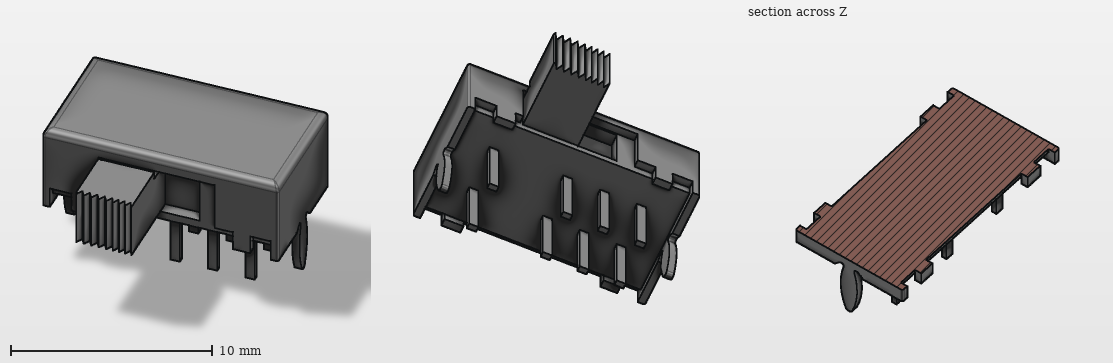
import cadquery as cq
import math


COVER_LENGTH = 12.6
COVER_WIDTH = 6.8
COVER_TOP = 4.7
SHEET = 0.4
TOP_EDGE_RADIUS = 0.43
CORNER_RADIUS = 0.12
LONG_WALL_BOTTOM = 1.15
TAB_BOTTOM = 0.1
TAB_SPANS = [(-4.75, -3.72), (3.88, 4.8)]
WINDOW_LEFT = -3.3
WINDOW_RIGHT = 2.91
WINDOW_TOP = 3.8

BASE_BOTTOM = 0.6
BASE_FRONT = -COVER_WIDTH / 2 + SHEET

KNOB_LEFT = -3.15
KNOB_WIDTH = 3.0
KNOB_BOTTOM = 1.05
KNOB_HEIGHT = 3.0
KNOB_FRONT = -6.9
STEM_TOP = 3.65
STEM_GAP = 0.42
SLOT_RIGHT = 1.95
SLOT_DEPTH = 0.65

TOOTH_DEPTH = 0.33
CORNER_SETBACK = 0.1
FIRST_GROOVE = 0.25
WIDE_PITCH = 0.4
WIDE_COUNT = 4
NARROW_PITCH = 0.325
NARROW_COUNT = 3

LEG_TIP_Z = -2.8
LEG_TIP_HALF_WIDTH = 0.155
LEG_TIP_RADIUS = 0.2
LEG_BELLY_Z = -1.1
LEG_BELLY_HALF_WIDTH = 0.525
LEG_NECK_HALF_WIDTH = 0.33
RELIEF_RADIUS = 0.16

PIN_X = [-4.0, 0.0, 2.0, 4.0]
PIN_ROW_OFFSET = 1.25
PIN_WIDTH = 0.5
PIN_THICKNESS = 0.3
PIN_BOTTOM = -3.1
PIN_TOP = 1.15


def block(x_span, y_span, z_span):
    """Box between two limits on each axis."""
    size = [high - low for low, high in (x_span, y_span, z_span)]
    return cq.Workplane("XY").box(*size, centered=False).translate((x_span[0], y_span[0], z_span[0]))


def cover_envelope():
    """Solid outer form: mitred rounds along the top and small rounds at the upright corners."""
    blank = cq.Workplane("XY").box(COVER_LENGTH, COVER_WIDTH, COVER_TOP, centered=(True, True, False))
    along_x = blank.faces(">Z").edges("|X").fillet(TOP_EDGE_RADIUS)
    along_y = blank.faces(">Z").edges("|Y").fillet(TOP_EDGE_RADIUS)
    return along_x.intersect(along_y).edges("|Z").fillet(CORNER_RADIUS)


def long_wall_cut(side):
    """Material removed below one long wall (side -1 front, +1 rear), leaving the tabs."""
    outer_y = side * COVER_WIDTH / 2
    inner_y = side * (COVER_WIDTH / 2 - SHEET)
    y_span = (min(outer_y, inner_y), max(outer_y, inner_y))
    inner_half_length = COVER_LENGTH / 2 - SHEET
    cut = block((-inner_half_length, inner_half_length), y_span, (0, LONG_WALL_BOTTOM))
    for tab_span in TAB_SPANS:
        cut = cut.cut(block(tab_span, y_span, (TAB_BOTTOM, LONG_WALL_BOTTOM)))
    return cut


def body():
    """Cover and base joined: the base fills the cover down to BASE_BOTTOM."""
    inner_half_length = COVER_LENGTH / 2 - SHEET
    underside = block((-inner_half_length, inner_half_length), (BASE_FRONT, -BASE_FRONT), (0, BASE_BOTTOM))
    window = block((WINDOW_LEFT, WINDOW_RIGHT), (-COVER_WIDTH / 2, BASE_FRONT), (0, WINDOW_TOP))
    slot = block((KNOB_LEFT, SLOT_RIGHT), (BASE_FRONT, BASE_FRONT + SLOT_DEPTH), (KNOB_BOTTOM, STEM_TOP))
    solid = cover_envelope().cut(underside).cut(window).cut(slot)
    for side in (-1, 1):
        solid = solid.cut(long_wall_cut(side))
    return solid


def knob_outline():
    """Plan outline of the serrated knob, from its back edge round the teeth."""
    back = -COVER_WIDTH / 2 - STEM_GAP
    right = KNOB_LEFT + KNOB_WIDTH
    groove_y = KNOB_FRONT + TOOTH_DEPTH
    pitches = [WIDE_PITCH] * WIDE_COUNT + [NARROW_PITCH] * NARROW_COUNT
    groove_x = KNOB_LEFT + FIRST_GROOVE
    points = [
        (KNOB_LEFT, back),
        (KNOB_LEFT, KNOB_FRONT + CORNER_SETBACK),
        (groove_x - WIDE_PITCH / 2, KNOB_FRONT),
        (groove_x, groove_y),
    ]
    for pitch in pitches:
        points.append((groove_x + pitch / 2, KNOB_FRONT))
        groove_x += pitch
        points.append((groove_x, groove_y))
    points += [(right, KNOB_FRONT), (right, back)]
    return points


def slider():
    """Serrated knob on a lower stem that reaches the floor of the slot."""
    knob = (
        cq.Workplane("XY", origin=(0, 0, KNOB_BOTTOM))
        .polyline(knob_outline())
        .close()
        .extrude(KNOB_HEIGHT)
    )
    stem = block(
        (KNOB_LEFT, KNOB_LEFT + KNOB_WIDTH),
        (-COVER_WIDTH / 2 - STEM_GAP, BASE_FRONT + SLOT_DEPTH),
        (KNOB_BOTTOM, STEM_TOP),
    )
    return knob.union(stem)


def leg():
    """Leaf-shaped leg, one sheet thick, starting at X = 0."""
    tip = (LEG_TIP_HALF_WIDTH, LEG_TIP_Z)
    belly = (LEG_BELLY_HALF_WIDTH, LEG_BELLY_Z)
    neck = (LEG_NECK_HALF_WIDTH, RELIEF_RADIUS)
    return (
        cq.Workplane("YZ")
        .moveTo(*neck)
        .threePointArc(belly, tip)
        .lineTo(-tip[0], tip[1])
        .threePointArc((-belly[0], belly[1]), (-neck[0], neck[1]))
        .lineTo(-neck[0], 2 * RELIEF_RADIUS)
        .lineTo(neck[0], 2 * RELIEF_RADIUS)
        .close()
        .extrude(SHEET)
        .edges("|X and <Z")
        .fillet(LEG_TIP_RADIUS)
    )


def leg_relief():
    """Pair of notches beside the leg: a round at the neck running out along a 45 degree slope."""
    center_y = LEG_NECK_HALF_WIDTH + RELIEF_RADIUS
    diagonal = RELIEF_RADIUS * math.sqrt(0.5)
    tangent = (center_y + diagonal, RELIEF_RADIUS + diagonal)
    notch = (
        cq.Workplane("YZ")
        .moveTo(LEG_NECK_HALF_WIDTH, 0)
        .lineTo(LEG_NECK_HALF_WIDTH, RELIEF_RADIUS)
        .threePointArc((center_y, 2 * RELIEF_RADIUS), tangent)
        .lineTo(tangent[0] + tangent[1], 0)
        .close()
        .extrude(SHEET)
    )
    return notch.union(notch.mirror("XZ"))


def pin(x, y):
    """Square-ended solder pin reaching up into the base."""
    return block(
        (x - PIN_WIDTH / 2, x + PIN_WIDTH / 2),
        (y - PIN_THICKNESS / 2, y + PIN_THICKNESS / 2),
        (PIN_BOTTOM, PIN_TOP),
    )


def end_wall_legs(solid):
    """Cut the notches and add the leg on both end walls."""
    for wall_x in (-COVER_LENGTH / 2, COVER_LENGTH / 2 - SHEET):
        solid = solid.cut(leg_relief().translate((wall_x, 0, 0)))
        solid = solid.union(leg().translate((wall_x, 0, 0)))
    return solid


def pin_rows(solid):
    """Add both rows of solder pins."""
    for x in PIN_X:
        for y in (-PIN_ROW_OFFSET, PIN_ROW_OFFSET):
            solid = solid.union(pin(x, y))
    return solid


result = pin_rows(end_wall_legs(body().union(slider())))